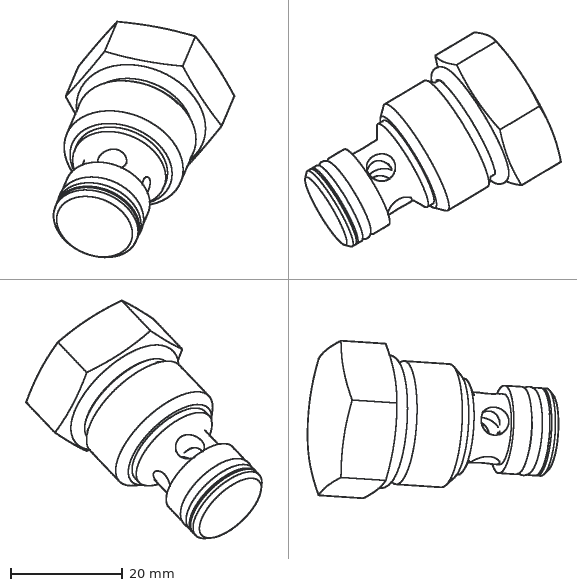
import cadquery as cq
import math


LENGTH = 41.25
HEX_ACROSS_FLATS = 25.25
HEX_ACROSS_CORNERS = HEX_ACROSS_FLATS / math.cos(math.pi / 6)
HEX_CORNER_BEVEL = 0.55
HEAD_UNDERSIDE_Y = 31.8

UNDERCUT_DIAMETER = 19.65
BODY_DIAMETER = 22.25
BODY_TOP_Y = 27.6
UNDERCUT_BOTTOM_Y = BODY_TOP_Y + (BODY_DIAMETER - UNDERCUT_DIAMETER) / 2
ROOT_FILLET = 0.4
BODY_BOTTOM_Y = 19.15
BODY_END_DIAMETER = 19.05
SHOULDER_DIAMETER = 17.37
SHOULDER_TOP_Y = 17.5
SHOULDER_BOTTOM_Y = 16.25

NECK_DIAMETER = 12.7
NECK_TOP_Y = 14.85
NECK_BOTTOM_Y = 8.63
CROSS_HOLE_DIAMETER = 5.15
CROSS_HOLE_Y = 11.7

NOSE_DIAMETER = 15.8
NOSE_CHAMFER = 0.83
GROOVE_DIAMETER = 13.35
NARROW_GROOVE_BOTTOM_Y = 1.53
NARROW_GROOVE_TOP_Y = 1.85
SEAL_GROOVE_BOTTOM_Y = 2.97
SEAL_GROOVE_TOP_Y = 5.2
SEAL_GROOVE_FILLET = 0.2

HEAD_RING_DIAMETER = 24.0
HEAD_RING_CORD = 2.48
HEAD_RING_Y = HEAD_UNDERSIDE_Y - HEAD_RING_CORD / 2
NOSE_RING_DIAMETER = 16.0
NOSE_RING_CORD = 1.85
NOSE_RING_Y = 4.0


def turned(outline):
    """Revolve (diameter, y) points, closed along the axis, about Y."""
    points = [(diameter / 2, y) for diameter, y in outline]
    return cq.Workplane("XY").polyline(points).close().revolve(360, (0, 0), (0, 1))


def fillet_circle(body, diameter, y, radius):
    """Round the circular edge of the given diameter at height y."""
    tolerance = 0.005
    edges = [
        edge
        for edge in body.edges("%CIRCLE").vals()
        if abs(edge.radius() - diameter / 2) < tolerance
        and abs(edge.Center().y - y) < tolerance
    ]
    return body.newObject(edges).fillet(radius)


def o_ring(outer_diameter, cord, y):
    """Torus around the Y axis, with its seam on the inside."""
    centre_radius = (outer_diameter - cord) / 2
    return cq.Workplane("XY").center(-centre_radius, y).circle(cord / 2).revolve(
        360, (centre_radius, 0), (centre_radius, 1)
    )


def hex_head():
    """Hexagon with corners on X, its corners bevelled at both ends."""
    prism = (
        cq.Workplane("XZ", origin=(0, HEAD_UNDERSIDE_Y, 0))
        .polygon(6, HEX_ACROSS_CORNERS)
        .extrude(HEAD_UNDERSIDE_Y - LENGTH)
    )
    bevel_envelope = turned([
        (0, HEAD_UNDERSIDE_Y),
        (HEX_ACROSS_FLATS, HEAD_UNDERSIDE_Y),
        (HEX_ACROSS_CORNERS, HEAD_UNDERSIDE_Y + HEX_CORNER_BEVEL),
        (HEX_ACROSS_CORNERS, LENGTH - HEX_CORNER_BEVEL),
        (HEX_ACROSS_FLATS, LENGTH),
        (0, LENGTH),
    ])
    return prism.intersect(bevel_envelope)


def stem():
    """Everything turned below the head, from the nose face upwards."""
    body = turned([
        (0, 0),
        (NOSE_DIAMETER - 2 * NOSE_CHAMFER, 0),
        (NOSE_DIAMETER, NOSE_CHAMFER),
        (NOSE_DIAMETER, NARROW_GROOVE_BOTTOM_Y),
        (GROOVE_DIAMETER, NARROW_GROOVE_BOTTOM_Y),
        (GROOVE_DIAMETER, NARROW_GROOVE_TOP_Y),
        (NOSE_DIAMETER, NARROW_GROOVE_TOP_Y),
        (NOSE_DIAMETER, SEAL_GROOVE_BOTTOM_Y),
        (GROOVE_DIAMETER, SEAL_GROOVE_BOTTOM_Y),
        (GROOVE_DIAMETER, SEAL_GROOVE_TOP_Y),
        (NOSE_DIAMETER, SEAL_GROOVE_TOP_Y),
        (NOSE_DIAMETER, NECK_BOTTOM_Y),
        (NECK_DIAMETER, NECK_BOTTOM_Y),
        (NECK_DIAMETER, NECK_TOP_Y),
        (SHOULDER_DIAMETER, SHOULDER_BOTTOM_Y),
        (SHOULDER_DIAMETER, SHOULDER_TOP_Y),
        (BODY_END_DIAMETER, SHOULDER_TOP_Y),
        (BODY_DIAMETER, BODY_BOTTOM_Y),
        (BODY_DIAMETER, BODY_TOP_Y),
        (UNDERCUT_DIAMETER, UNDERCUT_BOTTOM_Y),
        (UNDERCUT_DIAMETER, HEAD_UNDERSIDE_Y),
        (0, HEAD_UNDERSIDE_Y),
    ])
    body = fillet_circle(body, NECK_DIAMETER, NECK_TOP_Y, ROOT_FILLET)
    body = fillet_circle(body, UNDERCUT_DIAMETER, UNDERCUT_BOTTOM_Y, ROOT_FILLET)
    for wall_y in (SEAL_GROOVE_BOTTOM_Y, SEAL_GROOVE_TOP_Y):
        for diameter in (GROOVE_DIAMETER, NOSE_DIAMETER):
            body = fillet_circle(body, diameter, wall_y, SEAL_GROOVE_FILLET)
    return body


def cross_hole(plane):
    """Cylinder through the neck, square to the given plane."""
    return (
        cq.Workplane(plane, origin=(0, CROSS_HOLE_Y, 0))
        .circle(CROSS_HOLE_DIAMETER / 2)
        .extrude(NECK_DIAMETER, both=True)
    )


part = stem().union(hex_head())
part = part.union(o_ring(HEAD_RING_DIAMETER, HEAD_RING_CORD, HEAD_RING_Y))
part = part.union(o_ring(NOSE_RING_DIAMETER, NOSE_RING_CORD, NOSE_RING_Y))
for hole_plane in ("XY", "YZ"):
    part = part.cut(cross_hole(hole_plane))

result = part.translate((0, -LENGTH / 2, 0))